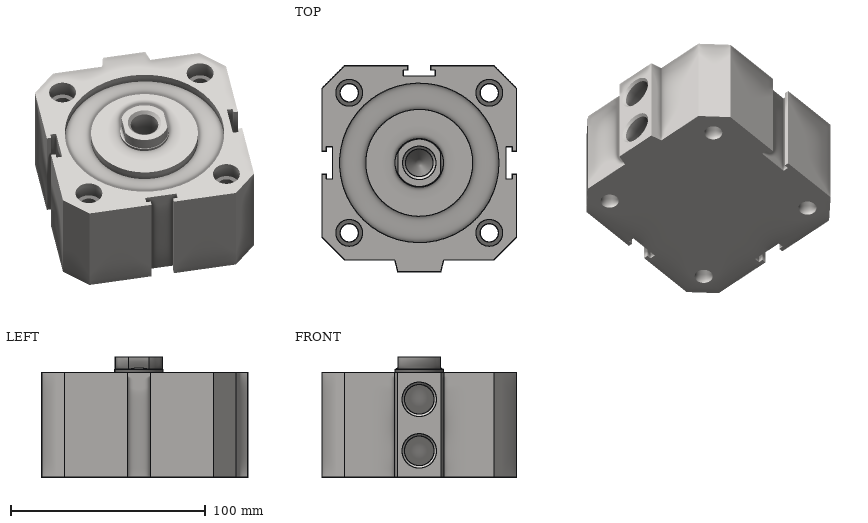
import cadquery as cq

width = 100.0
height = 54.0
corner_chamfer = 11.65

pad_base_width = 25.2
pad_face_width = 22.2
pad_projection = 6.0
pad_face_y = -width / 2 - pad_projection

port_diameter = 15.2
port_chamfer = 1.25
port_depth = 18.0
port_heights = (13.7, 40.2)

bolt_spacing = 72.0
bolt_diameter = 9.3
counterbore_diameter = 13.8
counterbore_depth = 9.0

slot_mouth_width = 11.7
slot_inner_width = 16.4
slot_lip = 2.3
slot_depth = 5.3

recess_diameter = 82.0
boss_diameter = 55.0
recess_depth = 5.0

rod_diameter = 25.0
rod_top = 62.0
rod_bottom = 10.0

tip_diameter = 24.4
tip_flats = 22.0
shoulder_height = 55.5
flat_bottom = 56.3
thread_diameter = 14.2
thread_chamfer = 1.5
thread_depth = 30.0
drill_point_depth = 4.0


def make_block():
    """Square block with chamfered vertical corners and the tapered port pad."""
    block = cq.Workplane("XY").box(width, width, height, centered=(True, True, False))
    block = block.edges("|Z").chamfer(corner_chamfer)
    pad = (
        cq.Workplane("XY")
        .moveTo(-pad_base_width / 2, -width / 2)
        .lineTo(-pad_face_width / 2, pad_face_y)
        .lineTo(pad_face_width / 2, pad_face_y)
        .lineTo(pad_base_width / 2, -width / 2)
        .close()
        .extrude(height)
    )
    return block.union(pad)


def make_t_slot(angle):
    """T-slot along the full height of the +X face, turned about Z by the angle."""
    mouth = cq.Workplane("XY").box(slot_depth, slot_mouth_width, height, centered=(False, True, False))
    inner_depth = slot_depth - slot_lip
    inner = cq.Workplane("XY").box(inner_depth, slot_inner_width, height, centered=(False, True, False))
    slot = mouth.union(inner).translate((width / 2 - slot_depth, 0, 0))
    return slot.rotate((0, 0, 0), (0, 0, 1), angle)


def make_port(port_height):
    """Blind round port entering from the pad face, with a chamfered mouth."""
    radius = port_diameter / 2
    mouth_radius = radius + port_chamfer
    profile = (
        cq.Workplane("XY")
        .polyline([
            (0, 0),
            (mouth_radius, 0),
            (radius, port_chamfer),
            (radius, port_depth),
            (0, port_depth),
        ])
        .close()
    )
    port = profile.revolve(360, (0, 0, 0), (0, 1, 0))
    return port.translate((0, pad_face_y, port_height))


def make_housing():
    """Cylinder housing with slots, ports, bolt holes, ring recess and a blind rod bore."""
    housing = make_block()
    for angle in (0, 90, 180):
        housing = housing.cut(make_t_slot(angle))
    for port_height in port_heights:
        housing = housing.cut(make_port(port_height))
    housing = (
        housing.faces(">Z").workplane(origin=(0, 0, height))
        .rect(bolt_spacing, bolt_spacing, forConstruction=True)
        .vertices()
        .cboreHole(bolt_diameter, counterbore_diameter, counterbore_depth)
    )
    recess = (
        cq.Workplane("XY", origin=(0, 0, height - recess_depth))
        .circle(recess_diameter / 2)
        .circle(boss_diameter / 2)
        .extrude(recess_depth)
    )
    rod_bore = (
        cq.Workplane("XY", origin=(0, 0, rod_bottom))
        .circle(rod_diameter / 2)
        .extrude(height - rod_bottom)
    )
    return housing.cut(recess).cut(rod_bore)


def make_rod():
    """Round rod with a conical shoulder, wrench flats at the tip and a blind drilled hole for the thread."""
    rod_radius = rod_diameter / 2
    tip_radius = tip_diameter / 2
    core_radius = tip_flats / 2
    rod = (
        cq.Workplane("XZ")
        .polyline([
            (0, rod_bottom),
            (rod_radius, rod_bottom),
            (rod_radius, shoulder_height),
            (core_radius, flat_bottom),
            (0, flat_bottom),
        ])
        .close()
        .revolve(360, (0, 0, 0), (0, 1, 0))
    )
    tip_length = rod_top - shoulder_height
    tip_base = cq.Workplane("XY", origin=(0, 0, shoulder_height))
    across_flats = tip_base.box(tip_flats, tip_diameter, tip_length, centered=(True, True, False))
    tip = tip_base.circle(tip_radius).extrude(tip_length).intersect(across_flats)
    bore_radius = thread_diameter / 2
    bore = (
        cq.Workplane("XZ")
        .polyline([
            (0, rod_top),
            (bore_radius + thread_chamfer, rod_top),
            (bore_radius, rod_top - thread_chamfer),
            (bore_radius, rod_top - thread_depth),
            (0, rod_top - thread_depth - drill_point_depth),
        ])
        .close()
        .revolve(360, (0, 0, 0), (0, 1, 0))
    )
    return rod.union(tip).cut(bore)


housing = make_housing()
rod = make_rod()

result = cq.Compound.makeCompound([housing.val(), rod.val()])